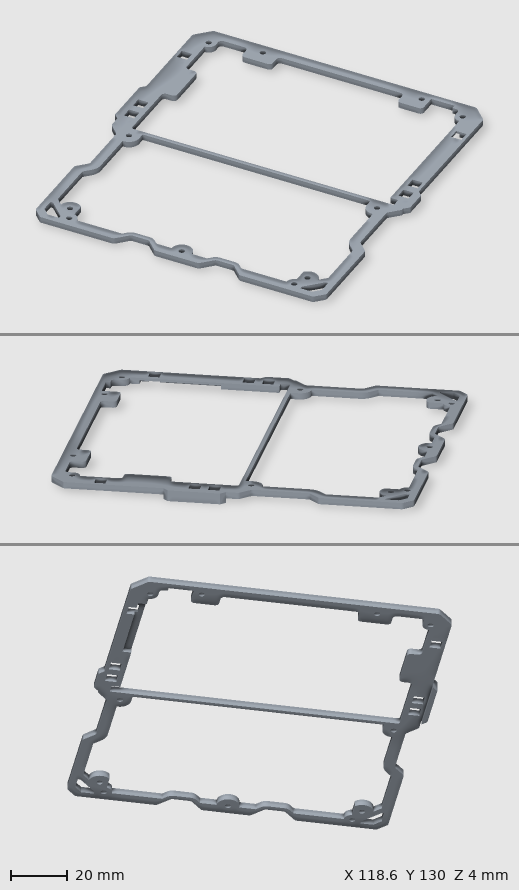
import cadquery as cq
import math

thickness = 2.3
lip_height = 4.0
half_length = 65.0
half_width = 57.5
flange_x = 59.3
rail = 4.0
bottom_edge = -half_length
rail_top = bottom_edge + rail

top_chamfer = 5.5
bottom_chamfer = 3.5
waist_x = half_width - rail
waist_start = -3.0
waist_end = -27.5
bend_radius = 1.4
flange_chamfer = flange_x - half_width
left_flange_y = (1.5, 23.9)
right_flange_y = (-2.2, 9.8)

scallop_x = 16.8
scallop_depth = 4.5
scallop_top_half = 3.5
scallop_wall = 2.0

upper_x = 50.3
upper_top = half_length - rail
upper_bottom = -1.7
upper_corner_radius = 0.9
tab_radius = 1.4
tab_bottom = 55.5
left_tab_x = (-36.3, -24.3)
right_tab_x = (25.4, 35.4)
side_tab_x = -45.4
side_tab_y = (22.9, 39.9)
top_notch_x = 44.5
top_notch_y = 62.5
side_notch_x = 53.4
side_notch_y = 1.7
corner_boss_radius = 2.9

recess_y = (22.5, 51.7)
recess_depth = 1.4

crossbar_bottom = -3.2
lower_x = waist_x - rail
miter = rail * math.tan(math.radians(22.5))
strut_start = -52.3

hole_diameter = 2.2
boss_radius = 4.0
small_boss_radius = 3.0
corner_hole = (50.2, 57.8)
waist_hole = (49.0, -6.0)
inner_foot_hole = (46.9, -55.5)
outer_foot_hole = (44.5, rail_top)
foot_boss_flat_x = 44.0
left_tab_hole_x = -30.4
right_tab_hole_x = 32.4

square = 4.0
square_x = 54.2
square_ys = (46.9, 13.3, 6.2)
window_outer_x = 54.9
window_inner_x = 47.7
window_top = -55.0
window_bottom = -62.4
window_chamfer = 2.6
window_diagonal = 109.0


def mirrored(points):
    """Mirror points across the YZ plane, reversing their order."""
    return [(-p[0], *p[1:]) for p in reversed(points)]


def rounded(points):
    """Give each corner the bend radius."""
    return [(x, y, bend_radius) for x, y in points]


def prism(corners, height=thickness):
    """Extrude a polygon down from Z = 0; a corner (x, y, r) is rounded with radius r."""
    sketch = None
    count = len(corners)
    for i, corner in enumerate(corners):
        point = cq.Vector(corner[0], corner[1])
        start = point
        middle = None
        if len(corner) == 3:
            before = cq.Vector(*corners[i - 1][:2])
            after = cq.Vector(*corners[(i + 1) % count][:2])
            to_before = (before - point).normalized()
            to_after = (after - point).normalized()
            half_angle = to_before.getAngle(to_after) / 2
            radius = corner[2]
            setback = radius / math.tan(half_angle)
            start = point + to_before * setback
            end = point + to_after * setback
            bisector = (to_before + to_after).normalized()
            middle = point + bisector * (radius / math.sin(half_angle) - radius)
        if sketch is None:
            sketch = cq.Workplane("XY").moveTo(start.x, start.y)
        else:
            sketch = sketch.lineTo(start.x, start.y)
        if middle is not None:
            sketch = sketch.threePointArc((middle.x, middle.y), (end.x, end.y))
    return sketch.close().extrude(-height)


def cylinder(x, y, radius):
    return cq.Workplane("XY").center(x, y).circle(radius).extrude(-thickness)


def flange_points(side, y_range):
    """Side flange outline from its lower to its upper end."""
    low, high = y_range
    return [
        (side * half_width, low),
        (side * flange_x, low + flange_chamfer),
        (side * flange_x, high - flange_chamfer),
        (side * half_width, high),
    ]


def scallop(center, top_half, top, base):
    """45 degree trapezoid over the bottom rail, from left to right."""
    base_half = top_half + top - base
    return [
        (center - base_half, base),
        (center - top_half, top),
        (center + top_half, top),
        (center + base_half, base),
    ]


def outer_outline():
    waist_right = [
        (half_width - bottom_chamfer, bottom_edge),
        (half_width, bottom_edge + bottom_chamfer),
        (half_width, waist_end - rail),
        (waist_x, waist_end),
        (waist_x, waist_start - rail),
        (half_width, waist_start),
    ]
    top_right = [
        (half_width, half_length - top_chamfer),
        (half_width - top_chamfer, half_length),
    ]
    scallop_top = bottom_edge + scallop_depth
    scallops = []
    for center in (-scallop_x, scallop_x):
        scallops += scallop(center, scallop_top_half, scallop_top, bottom_edge)
    return (
        rounded(scallops + waist_right)
        + flange_points(1, right_flange_y)
        + rounded(top_right + mirrored(top_right))
        + flange_points(-1, left_flange_y)[::-1]
        + rounded(mirrored(waist_right))
    )


def upper_opening():
    boss_x = corner_hole[0] - corner_boss_radius
    boss_y = corner_hole[1] - corner_boss_radius
    left_side = [
        (-upper_x, upper_bottom, upper_corner_radius),
        (-upper_x, side_tab_y[0], tab_radius),
        (side_tab_x, side_tab_y[0], tab_radius),
        (side_tab_x, side_tab_y[1], tab_radius),
        (-upper_x, side_tab_y[1], tab_radius),
    ]
    left_boss = [
        (-upper_x, boss_y),
        (-boss_x, boss_y, corner_boss_radius),
        (-boss_x, upper_top, tab_radius),
    ]
    left_tab = [
        (left_tab_x[0], upper_top, tab_radius),
        (left_tab_x[0], tab_bottom, tab_radius),
        (left_tab_x[1], tab_bottom, tab_radius),
        (left_tab_x[1], upper_top, tab_radius),
    ]
    right_tab_and_notch = [
        (right_tab_x[0], upper_top, tab_radius),
        (right_tab_x[0], tab_bottom, tab_radius),
        (right_tab_x[1], tab_bottom, tab_radius),
        (right_tab_x[1], top_notch_y),
        (top_notch_x, top_notch_y),
        (top_notch_x, upper_top),
    ]
    side_notch = [
        (upper_x, side_notch_y),
        (side_notch_x, side_notch_y),
        (side_notch_x, upper_bottom),
    ]
    return left_side + left_boss + left_tab + right_tab_and_notch + mirrored(left_boss) + side_notch


def lower_opening():
    boss_x = waist_hole[0] - boss_radius
    boss_y = waist_hole[1] - boss_radius
    foot_x = waist_x - (strut_start - rail_top)
    right_side = [
        (foot_x, rail_top),
        (waist_x, strut_start),
        (waist_x, waist_end - rail - miter),
        (lower_x, waist_end - miter, bend_radius + rail),
        (lower_x, boss_y),
        (boss_x, boss_y, boss_radius),
        (boss_x, crossbar_bottom),
    ]
    top_half = scallop_top_half + scallop_wall * math.tan(math.radians(22.5))
    top = bottom_edge + scallop_depth + scallop_wall
    bumps = []
    for center in (-scallop_x, scallop_x):
        foot_left, top_left, top_right, foot_right = scallop(center, top_half, top, rail_top)
        bump_radius = bend_radius + scallop_wall
        bumps += [foot_left, (*top_left, bump_radius), (*top_right, bump_radius), foot_right]
    return bumps + right_side + mirrored(right_side)


def foot_bosses(side):
    """Pair of bosses beside a bottom corner; the larger one has a flat facing the middle."""
    x, y = inner_foot_hole
    flat_boss = cylinder(side * x, y, boss_radius)
    trim = cq.Workplane("XY").box(2 * foot_boss_flat_x, 2 * half_length, 2 * thickness)
    x, y = outer_foot_hole
    return flat_boss.cut(trim).union(cylinder(side * x, y, small_boss_radius))


def corner_window():
    """Five-sided window behind the right bottom corner chamfer."""
    return [
        (window_inner_x, window_bottom),
        (window_outer_x - window_chamfer, window_bottom),
        (window_outer_x, window_bottom + window_chamfer),
        (window_outer_x, window_top),
        (window_diagonal + window_top, window_top),
        (window_inner_x, window_inner_x - window_diagonal),
    ]


frame = prism(outer_outline()).cut(prism(upper_opening())).cut(prism(lower_opening()))

frame = frame.union(cylinder(0, rail_top, boss_radius))
for side in (-1, 1):
    frame = frame.union(foot_bosses(side))

frame = frame.union(prism(flange_points(-1, left_flange_y), lip_height))

recess = cq.Workplane("XY").box(
    side_notch_x - lower_x,
    recess_y[1] - recess_y[0],
    recess_depth,
    centered=False,
)
frame = frame.cut(recess.translate((lower_x, recess_y[0], -thickness)))

frame = frame.cut(prism(corner_window())).cut(prism(mirrored(corner_window())))

square_centers = [(side * square_x, y) for side in (-1, 1) for y in square_ys]
frame = frame.cut(
    cq.Workplane("XY").pushPoints(square_centers).rect(square, square).extrude(-thickness)
)

paired_holes = [corner_hole, waist_hole, inner_foot_hole, outer_foot_hole]
hole_centers = paired_holes + mirrored(paired_holes)
hole_centers += [(left_tab_hole_x, upper_top), (right_tab_hole_x, upper_top), (0, rail_top)]
result = frame.cut(
    cq.Workplane("XY").pushPoints(hole_centers).circle(hole_diameter / 2).extrude(-thickness)
)